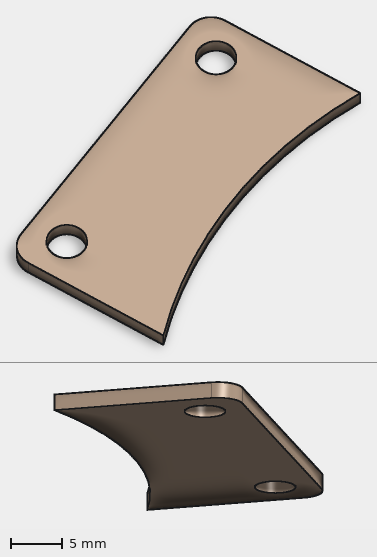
import cadquery as cq

length = 35.0
width = 18.38
thickness = 1.6
waist_width = 15.05
corner_radius = 2.5
hole_diameter = 4.0
hole_inset = 4.25

half_length = length / 2
hole_y = half_length - hole_inset

plate = (
    cq.Workplane("XY")
    .moveTo(0, -half_length)
    .lineTo(width, -half_length)
    .threePointArc((waist_width, 0), (width, half_length))
    .lineTo(0, half_length)
    .close()
    .extrude(thickness)
)

plate = plate.edges("|Z and <X").fillet(corner_radius)

hole_centres = [(hole_inset, side * hole_y) for side in (-1, 1)]
holes = (
    cq.Workplane("XY")
    .pushPoints(hole_centres)
    .circle(hole_diameter / 2)
    .extrude(thickness)
)

result = plate.cut(holes)